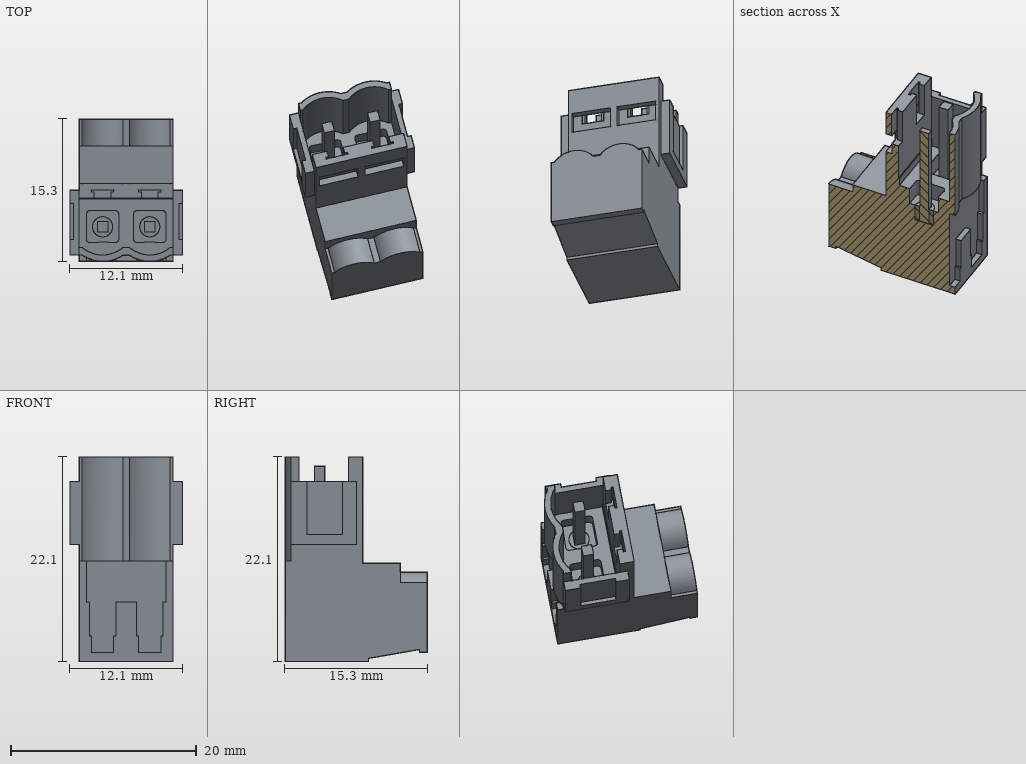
import cadquery as cq


pitch = 5.08
pole_positions = [-pitch / 2, pitch / 2]

body_width = 10.12
body_depth = 15.3
total_height = 22.05
half_width = body_width / 2

tower_depth = 8.37
shoulder_depth = 12.4
shoulder_z = 10.6
rear_valley_z = 8.55
belly_depth = 9.0
belly_rise = 0.35
rear_foot_length = 0.85
rear_foot_z = 1.0
rear_foot_rise = 0.3

scallop_chord = 4.4
rear_dome_rise = 1.1
front_inner_bulge = 0.82

front_ledge_z = 10.85
front_valley_depth = 0.66
front_outer_bulge = front_valley_depth
front_wall_thickness = 0.84
front_wall_inner_y = front_valley_depth + front_wall_thickness

cavity_floor_z = 12.6
rear_wall_face_y = 6.8
rear_wall_step = 0.08
rear_wall_step_height = 1.0

side_wall_thickness = 1.0
side_wall_rear_y = 7.67
side_wall_top_z = 19.4
side_recess_depth = 0.4
side_recess_front_y = 2.35
side_recess_rear_y = 6.2
side_recess_floor_z = 13.7

slot_neck_width = 1.8
slot_head_width = 2.4
slot_head_front_y = 7.46
slot_head_rear_y = 7.66
slot_depth = 4.05
window_width = 4.3
window_top_z = total_height - 3.0
window_height = 2.4

panel_width = 8.54
panel_depth = 0.64
panel_bottom_z = 6.4
leg_width = 2.85
leg_shoulder_z = 2.75
leg_tip_width = 2.4
leg_tip_z = 1.0

pin_y = 3.72
pin_side = 1.12
pin_top_z = 21.05
pocket_side = 3.5
pocket_corner_radius = 0.4
pocket_front_bow = 0.1
pocket_depth = 2.0
pocket_floor_z = cavity_floor_z - pocket_depth
sleeve_diameter = 2.17
sleeve_length = 2.0
sleeve_bottom_z = pocket_floor_z - sleeve_length


def block(x_min, x_max, y_min, y_max, z_min, z_max):
    size = (x_max - x_min, y_max - y_min, z_max - z_min)
    return cq.Workplane("XY").box(*size, centered=False).translate((x_min, y_min, z_min))


def centred_block(x_centre, width, y_min, y_max, z_min, z_max):
    return block(x_centre - width / 2, x_centre + width / 2, y_min, y_max, z_min, z_max)


def scallop_edge(sketch, valley, bulge):
    """Run a line of one bulge per pole across the body, between flat valleys."""
    sketch = sketch.moveTo(-half_width, valley)
    for x in pole_positions:
        sketch = sketch.lineTo(x - scallop_chord / 2, valley)
        sketch = sketch.threePointArc((x, valley + bulge), (x + scallop_chord / 2, valley))
    return sketch.lineTo(half_width, valley)


def make_lower_body():
    """Stepped side profile with a sloping underside, up to the tower top."""
    slope_end_y = body_depth - rear_foot_length
    profile = [
        (0, 0),
        (belly_depth, 0),
        (belly_depth, belly_rise),
        (slope_end_y, rear_foot_z + rear_foot_rise),
        (slope_end_y, rear_foot_z),
        (body_depth, rear_foot_z),
        (body_depth, rear_valley_z),
        (shoulder_depth, rear_valley_z),
        (shoulder_depth, shoulder_z),
        (tower_depth, shoulder_z),
        (tower_depth, total_height),
        (front_wall_inner_y, total_height),
        (front_wall_inner_y, front_ledge_z),
        (0, front_ledge_z),
    ]
    side = cq.Workplane("YZ").polyline(profile).close()
    return side.extrude(half_width, both=True)


def make_rear_domes():
    """Rounded covers over the two wire entries."""
    base_z = rear_valley_z - rear_dome_rise
    outline = scallop_edge(cq.Workplane("XZ"), rear_valley_z, rear_dome_rise)
    outline = outline.lineTo(half_width, base_z).lineTo(-half_width, base_z).close()
    dome_length = body_depth - shoulder_depth
    return outline.extrude(-dome_length).translate((0, shoulder_depth, 0))


def make_scalloped_prism(valley_y, bulge, rear_y, z_min):
    """Prism whose front face bulges toward -Y once per pole."""
    outline = scallop_edge(cq.Workplane("XY"), valley_y, -bulge)
    outline = outline.lineTo(half_width, rear_y).lineTo(-half_width, rear_y).close()
    return outline.extrude(total_height - z_min).translate((0, 0, z_min))


def make_side_wall(direction):
    """Wall closing one side of the cavity, with a recess open at its top."""
    inner_x = half_width
    outer_x = half_width + side_wall_thickness
    wall = block(inner_x, outer_x, front_valley_depth, side_wall_rear_y,
                 cavity_floor_z, side_wall_top_z)
    recess = block(outer_x - side_recess_depth, outer_x, side_recess_front_y,
                   side_recess_rear_y, side_recess_floor_z, side_wall_top_z)
    wall = wall.cut(recess)
    return wall if direction > 0 else wall.mirror("YZ")


def make_rear_wall_slot(x):
    """T-slot open at the top, with a window through the back of it."""
    slot_floor_z = total_height - slot_depth
    neck = centred_block(x, slot_neck_width, rear_wall_face_y, slot_head_rear_y,
                         slot_floor_z, total_height)
    head = centred_block(x, slot_head_width, slot_head_front_y, slot_head_rear_y,
                         slot_floor_z, total_height)
    window = centred_block(x, window_width, slot_head_rear_y, tower_depth,
                           window_top_z - window_height, window_top_z)
    return neck.union(head).union(window)


def make_front_recess():
    """Wide panel that splits into one stepped leg below each pole."""
    recess = centred_block(0, panel_width, 0, panel_depth, panel_bottom_z, front_ledge_z)
    for x in pole_positions:
        leg = centred_block(x, leg_width, 0, panel_depth, leg_shoulder_z, panel_bottom_z)
        tip = centred_block(x, leg_tip_width, 0, panel_depth, leg_tip_z, leg_shoulder_z)
        recess = recess.union(leg).union(tip)
    return recess


def make_pocket(x):
    """Rounded square pocket whose front side bows slightly inward."""
    half = pocket_side / 2
    pocket = (
        cq.Workplane("XY")
        .moveTo(-half, -half)
        .threePointArc((0, pocket_front_bow - half), (half, -half))
        .lineTo(half, half)
        .lineTo(-half, half)
        .close()
        .extrude(pocket_depth)
        .edges("|Z")
        .fillet(pocket_corner_radius)
    )
    return pocket.translate((x, pin_y, pocket_floor_z))


def make_pin(x):
    """Square contact pin standing in its sleeve."""
    return centred_block(x, pin_side, pin_y - pin_side / 2, pin_y + pin_side / 2,
                         sleeve_bottom_z, pin_top_z)


def make_sleeve_blank(x):
    """Solid cylinder filling the sleeve's seat in the housing."""
    blank = cq.Workplane("XY").circle(sleeve_diameter / 2).extrude(sleeve_length)
    return blank.translate((x, pin_y, sleeve_bottom_z))


def make_sleeve(x):
    """Round sleeve with a square bore for the pin, flush with the pocket floor."""
    return make_sleeve_blank(x).cut(make_pin(x))


def make_cavity():
    """Mating space between the scalloped front wall and the stepped rear wall."""
    cavity = make_scalloped_prism(front_wall_inner_y, front_inner_bulge,
                                  rear_wall_face_y, cavity_floor_z)
    rear_step = centred_block(0, body_width, rear_wall_face_y - rear_wall_step, rear_wall_face_y,
                              cavity_floor_z, cavity_floor_z + rear_wall_step_height)
    return cavity.cut(rear_step)


def make_housing():
    front_wall = make_scalloped_prism(front_valley_depth, front_outer_bulge,
                                      front_wall_inner_y, front_ledge_z)
    housing = make_lower_body().union(make_rear_domes()).union(front_wall)
    housing = housing.cut(make_cavity())
    for direction in (-1, 1):
        housing = housing.union(make_side_wall(direction))
    housing = housing.cut(make_front_recess())
    for x in pole_positions:
        housing = housing.cut(make_rear_wall_slot(x))
        housing = housing.cut(make_pocket(x))
        housing = housing.cut(make_sleeve_blank(x))
    return housing


housing = make_housing()
sleeves = [make_sleeve(x) for x in pole_positions]
pins = [make_pin(x) for x in pole_positions]

result = cq.Compound.makeCompound(
    [housing.solids().val()] + [sleeve.val() for sleeve in sleeves] + [pin.val() for pin in pins]
)